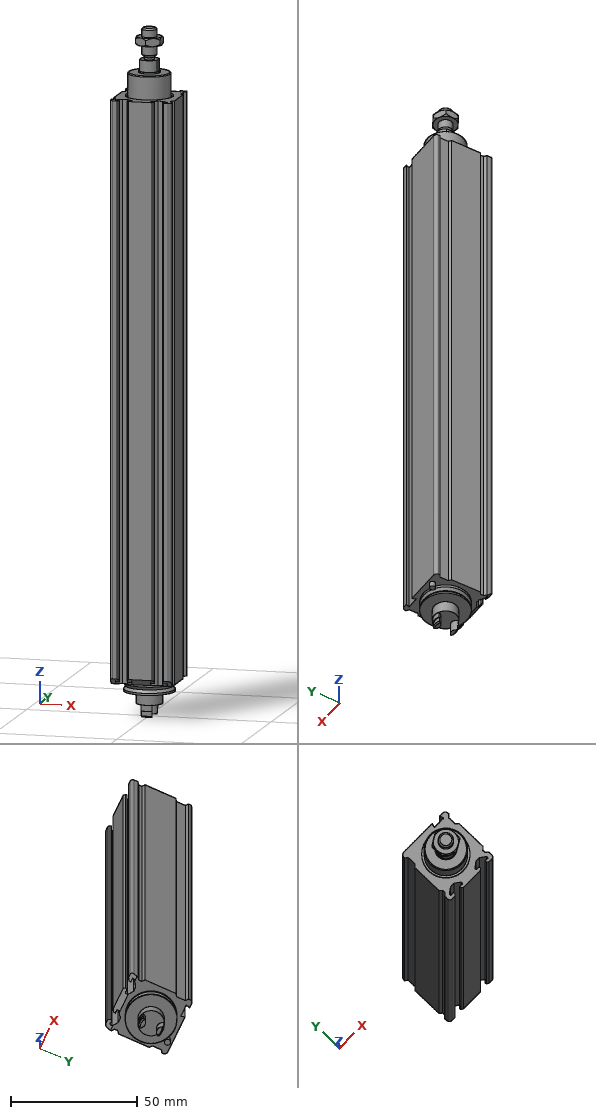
import cadquery as cq
import math

TOTAL_LENGTH = 277.5
HOUSING_BOTTOM = 14.5
HOUSING_TOP = 250.0

HALF_WIDTH = 12.5
FRONT_DEPTH = 14.5
SIDE_GROOVE_DEPTH = 1.0
SIDE_GROOVE_SLOPE = 0.8
UPPER_GROOVE_CENTER = 7.8
UPPER_GROOVE_MOUTH = 5.5
LOWER_GROOVE_CENTER = -10.0
LOWER_GROOVE_MOUTH = 3.0
BACK_EDGE_RADIUS = 1.5
FRONT_EDGE_RADIUS = 1.0
FOOT_CHAMFER = 2.5
SLOT_OFFSET = 7.2

T_MOUTH = 4.7
T_NECK = 3.3
T_CHAMBER = 6.7
T_FLOOR = 2.0
T_LIP_DEPTH = 0.7
T_NECK_DEPTH = 1.5
T_SHOULDER_DEPTH = 2.2
T_DEPTH = 4.0

DOVETAIL_MOUTH = 4.2
DOVETAIL_FLOOR = 5.3
DOVETAIL_DEPTH = 1.7

RECESS_DIAMETER = 19.1
RECESS_DEPTH = 0.8
CAP_DIAMETER = 17.2
CAP_TOP = 259.5
CAP_BOTTOM = HOUSING_TOP - RECESS_DEPTH
LIP_DIAMETER = 8.5
LIP_HEIGHT = 0.5
LIP_TOP = CAP_TOP + LIP_HEIGHT
CAP_CHAMFER = 0.42

ROD_DIAMETER = 8.0
ROD_TOP = 264.7
ROD_FLATS = 7.2
NECK_DIAMETER = 4.2
THREAD_DIAMETER = 6.0
THREAD_BOTTOM = 265.5
THREAD_TOP_CHAMFER = 0.7
THREAD_BOTTOM_CHAMFER = 1.0
NUT_ACROSS_FLATS = 10.0
NUT_BOTTOM = 270.5
NUT_HEIGHT = 3.3
NUT_SIDES = 6

FLANGE_DIAMETER = 20.5
FLANGE_BOTTOM = 10.0
V_GROOVE_TOP = 13.3
V_GROOVE_BOTTOM = 10.8
V_GROOVE_DEPTH = 0.8

SOCKET_DIAMETER = 10.5
SOCKET_BOTTOM = 5.0
PRONG_DIAMETER = 10.3
PRONG_OFFSET = 5.0
PRONG_ROUND = 4.7
PRONG_TIP_DIAMETER = 9.7
PRONG_STEP = 2.5
PRONG_CHAMFER = 0.5

PIN_DIAMETER = 2.5
PIN_X = -6.7
PIN_Y = 10.3
PIN_LENGTH = 2.5


def cylinder(diameter, bottom, top):
    return cq.Workplane("XY", origin=(0, 0, bottom)).circle(diameter / 2).extrude(top - bottom)


def housing_prism(points):
    prism = cq.Workplane("XY", origin=(0, 0, HOUSING_BOTTOM)).polyline(points).close()
    return prism.extrude(HOUSING_TOP - HOUSING_BOTTOM)


def side_groove(side, center, mouth):
    """Shallow groove with sloping walls in the +X (side = 1) or -X (side = -1) face."""
    face = side * HALF_WIDTH
    floor = side * (HALF_WIDTH - SIDE_GROOVE_DEPTH)
    half_mouth = mouth / 2
    half_floor = half_mouth - SIDE_GROOVE_SLOPE
    return housing_prism([
        (face, center - half_mouth),
        (face, center + half_mouth),
        (floor, center + half_floor),
        (floor, center - half_floor),
    ])


def t_slot(x):
    """T-slot with a flared mouth and a tapered chamber, as half widths by depth below the -Y face."""
    steps = [
        (T_MOUTH / 2, 0),
        (T_NECK / 2, T_LIP_DEPTH),
        (T_NECK / 2, T_NECK_DEPTH),
        (T_CHAMBER / 2, T_NECK_DEPTH),
        (T_CHAMBER / 2, T_SHOULDER_DEPTH),
        (T_FLOOR / 2, T_DEPTH),
    ]
    right_side = [(x + half, depth - FRONT_DEPTH) for half, depth in steps]
    left_side = [(x - half, depth - FRONT_DEPTH) for half, depth in reversed(steps)]
    return housing_prism(right_side + left_side)


def dovetail_slot(x):
    floor = HALF_WIDTH - DOVETAIL_DEPTH
    return housing_prism([
        (x - DOVETAIL_MOUTH / 2, HALF_WIDTH),
        (x + DOVETAIL_MOUTH / 2, HALF_WIDTH),
        (x + DOVETAIL_FLOOR / 2, floor),
        (x - DOVETAIL_FLOOR / 2, floor),
    ])


def foot_corner():
    """Wedge that bevels the lower end of the -Y face over the full width."""
    wedge = cq.Workplane("YZ", origin=(-HALF_WIDTH, 0, 0)).polyline([
        (-FRONT_DEPTH, HOUSING_BOTTOM),
        (-FRONT_DEPTH + FOOT_CHAMFER, HOUSING_BOTTOM),
        (-FRONT_DEPTH, HOUSING_BOTTOM + FOOT_CHAMFER),
    ]).close()
    return wedge.extrude(2 * HALF_WIDTH)


def make_housing():
    body = housing_prism([
        (-HALF_WIDTH, -FRONT_DEPTH),
        (HALF_WIDTH, -FRONT_DEPTH),
        (HALF_WIDTH, HALF_WIDTH),
        (-HALF_WIDTH, HALF_WIDTH),
    ])
    body = body.edges("|Z and >Y").fillet(BACK_EDGE_RADIUS)
    body = body.edges("|Z and <Y").fillet(FRONT_EDGE_RADIUS)
    body = body.cut(foot_corner())
    for side in (-1, 1):
        body = body.cut(side_groove(side, UPPER_GROOVE_CENTER, UPPER_GROOVE_MOUTH))
        body = body.cut(side_groove(side, LOWER_GROOVE_CENTER, LOWER_GROOVE_MOUTH))
        body = body.cut(t_slot(side * SLOT_OFFSET))
    body = body.cut(dovetail_slot(SLOT_OFFSET))
    return body.cut(cylinder(RECESS_DIAMETER, CAP_BOTTOM, HOUSING_TOP))


def make_bearing_cap():
    cap = cylinder(CAP_DIAMETER, CAP_BOTTOM, CAP_TOP)
    cap = cap.faces(">Z").chamfer(CAP_CHAMFER)
    cap = cap.union(cylinder(LIP_DIAMETER, CAP_TOP, LIP_TOP))
    return cap.cut(cylinder(ROD_DIAMETER, CAP_BOTTOM, LIP_TOP))


def make_rod():
    shoulder = cylinder(ROD_DIAMETER, CAP_BOTTOM, ROD_TOP)
    flats = cq.Workplane("XY", origin=(0, 0, LIP_TOP)).rect(ROD_FLATS, ROD_DIAMETER)
    flats = flats.extrude(ROD_TOP - LIP_TOP)
    shoulder = shoulder.intersect(flats.union(cylinder(ROD_DIAMETER, CAP_BOTTOM, LIP_TOP)))
    neck = cylinder(NECK_DIAMETER, ROD_TOP, THREAD_BOTTOM)
    thread = cylinder(THREAD_DIAMETER, THREAD_BOTTOM, TOTAL_LENGTH)
    thread = thread.faces(">Z").chamfer(THREAD_TOP_CHAMFER)
    thread = thread.faces("<Z").chamfer(THREAD_BOTTOM_CHAMFER)
    return shoulder.union(neck).union(thread)


def make_nut():
    """Hexagon nut with two corners along Y and its corners turned off at both ends."""
    corner_diameter = NUT_ACROSS_FLATS / math.cos(math.pi / NUT_SIDES)
    nut = cq.Workplane("XY", origin=(0, 0, NUT_BOTTOM)).polygon(NUT_SIDES, corner_diameter)
    nut = nut.extrude(NUT_HEIGHT).rotate((0, 0, 0), (0, 0, 1), 180 / NUT_SIDES)
    turned = cylinder(corner_diameter, NUT_BOTTOM, NUT_BOTTOM + NUT_HEIGHT)
    corner_depth = (corner_diameter - NUT_ACROSS_FLATS) / 2
    turned = turned.faces("<Z or >Z").chamfer(corner_depth)
    nut = nut.intersect(turned)
    return nut.cut(cylinder(THREAD_DIAMETER, NUT_BOTTOM, NUT_BOTTOM + NUT_HEIGHT))


def make_flange():
    radius = FLANGE_DIAMETER / 2
    groove_middle = (V_GROOVE_TOP + V_GROOVE_BOTTOM) / 2
    profile = cq.Workplane("XZ").polyline([
        (0, FLANGE_BOTTOM),
        (radius, FLANGE_BOTTOM),
        (radius, V_GROOVE_BOTTOM),
        (radius - V_GROOVE_DEPTH, groove_middle),
        (radius, V_GROOVE_TOP),
        (radius, HOUSING_BOTTOM),
        (0, HOUSING_BOTTOM),
    ]).close()
    return profile.revolve(360, (0, 0, 0), (0, 1, 0))


def make_socket():
    """Round socket whose prongs are a round stem trimmed by two round bars on the Y axis."""
    socket = cylinder(SOCKET_DIAMETER, SOCKET_BOTTOM, FLANGE_BOTTOM)
    tip = cylinder(PRONG_TIP_DIAMETER, 0, PRONG_STEP).faces("<Z").chamfer(PRONG_CHAMFER)
    stem = cylinder(PRONG_DIAMETER, PRONG_STEP, SOCKET_BOTTOM).union(tip)
    for side in (-1, 1):
        round_bar = cylinder(PRONG_ROUND, 0, SOCKET_BOTTOM).translate((0, side * PRONG_OFFSET, 0))
        socket = socket.union(stem.intersect(round_bar))
    return socket


def make_locating_pin():
    pin = cylinder(PIN_DIAMETER, HOUSING_BOTTOM - PIN_LENGTH, HOUSING_BOTTOM)
    return pin.translate((PIN_X, PIN_Y, 0))


housing = make_housing()
bearing_cap = make_bearing_cap()
rod = make_rod()
nut = make_nut()
flange = make_flange()
socket = make_socket()
locating_pin = make_locating_pin()

result = cq.Compound.makeCompound([
    housing.val(),
    bearing_cap.val(),
    rod.val(),
    nut.val(),
    flange.val(),
    socket.val(),
    locating_pin.val(),
])